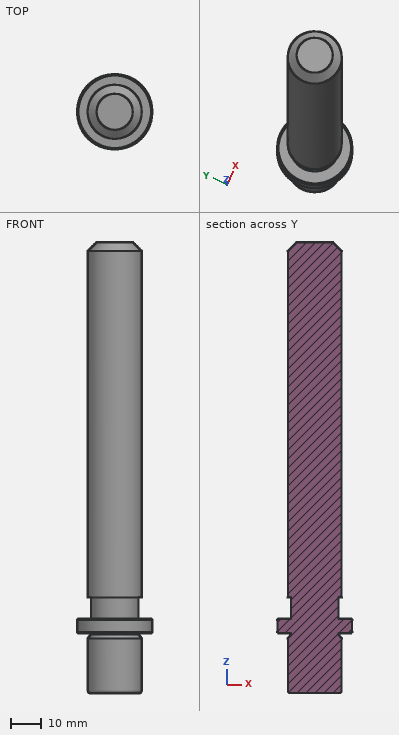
import cadquery as cq

total_length = 150.0
collar_bottom = 20.0
collar_thickness = 5.0
collar_top = collar_bottom + collar_thickness
neck_length = 7.0
shank_bottom = collar_top + neck_length

pin_radius = 9.0
neck_radius = 8.0
collar_diameter = 25.0
collar_radius = collar_diameter / 2

tip_chamfer = 3.0
foot_fillet = 1.0
collar_chamfer = 0.5

undercut_depth = 1.0
undercut_width = 1.6
undercut_floor = 0.3
undercut_radius = pin_radius - undercut_depth


def cylinder(radius, bottom, top):
    """Solid cylinder on the Z axis between two heights."""
    return cq.Workplane("XY").workplane(offset=bottom).circle(radius).extrude(top - bottom)


def make_spigot():
    """Lower end of the pin, with a rounded foot and the undercut at its top."""
    profile = (
        cq.Workplane("XZ")
        .lineTo(pin_radius, 0)
        .lineTo(pin_radius, collar_bottom - undercut_width)
        .lineTo(undercut_radius, collar_bottom - undercut_floor)
        .lineTo(undercut_radius, collar_bottom)
        .lineTo(0, collar_bottom)
        .close()
    )
    return profile.revolve(360, (0, 0, 0), (0, 1, 0)).faces("<Z").edges().fillet(foot_fillet)


spigot = make_spigot()
collar = cylinder(collar_radius, collar_bottom, collar_top).faces("<Z or >Z").chamfer(collar_chamfer)
neck = cylinder(neck_radius, collar_top, shank_bottom)
shank = cylinder(pin_radius, shank_bottom, total_length).faces(">Z").chamfer(tip_chamfer)

result = spigot.union(collar).union(neck).union(shank)